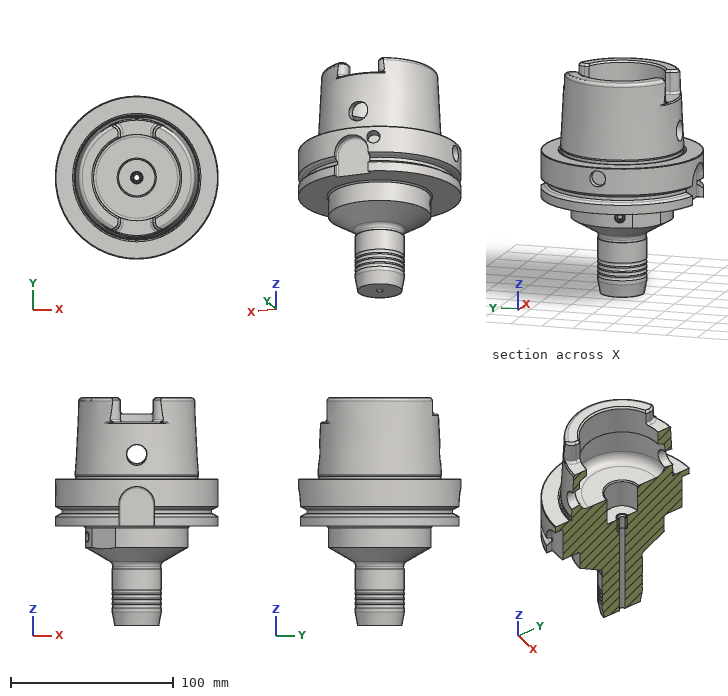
import cadquery as cq
import math


SHANK_LENGTH = 49.9
TAPER_BASE_RADIUS = 37.95
TAPER_BASE_Z = 2.4
TAPER_SLOPE = 0.05
TAPER_TOP_RADIUS = TAPER_BASE_RADIUS - TAPER_SLOPE * (SHANK_LENGTH - TAPER_BASE_Z)
RIM_FILLET = 2.2

RELIEF_RADIUS = 37.6
RELIEF_TOP_Z = 1.4
RELIEF_DEPTH = 0.5
RELIEF_FLOOR_RADIUS = 38.5
RELIEF_MOUTH_RADIUS = 39.4

FLANGE_RADIUS = 50.0
FLANGE_THICKNESS = 29.0
FLANGE_EDGE_CHAMFER = 0.4
GRIP_GROOVE_Z = -20.0
GRIP_GROOVE_RADIUS = 46.0
GRIP_GROOVE_HALF_FLOOR = 1.05
GRIP_GROOVE_KNEE_RADIUS = 47.7
GRIP_GROOVE_HALF_KNEE = 1.9
GRIP_GROOVE_HALF_MOUTH = 3.2

HUB_RADIUS = 31.5
HUB_BOTTOM_Z = -42.0
HUB_ROOT_CHAMFER = 1.0
CONE_ANGLE = math.radians(30)
NECK_RADIUS = 14.75
NECK_FILLET = 3.5
NOSE_RADIUS = 15.15
NOSE_TOP_Z = -55.2
NOSE_TAPER_Z = -81.7
NOSE_END_RADIUS = 13.6
NOSE_END_Z = -90.0

NOSE_GROOVE_COUNT = 4
NOSE_GROOVE_PITCH = 3.0
NOSE_GROOVE_FIRST_Z = -69.1
NOSE_GROOVE_HALF_WIDTH = 1.05
NOSE_GROOVE_DEPTH = 0.4

BORE_RADIUS = 26.5
BORE_CHAMFER = 1.1
LIP_BOTTOM_Z = 30.3
UNDERCUT_RADIUS = 31.5
UNDERCUT_TAPER = (UNDERCUT_RADIUS - BORE_RADIUS) * math.tan(CONE_ANGLE)
UNDERCUT_FILLET = 6.5
BORE_FLOOR_Z = 4.0

TUBE_BORE_RADIUS = 11.2
TUBE_BORE_CHAMFER = 0.8
TUBE_BORE_DEPTH = 20.0
TUBE_BORE_FLOOR_Z = BORE_FLOOR_Z - TUBE_BORE_DEPTH

STOP_SCREW_RADIUS = 3.8
STOP_SCREW_LENGTH = 10.0
STOP_SCREW_CHAMFER = 0.5
STOP_SCREW_SINK_RADIUS = 2.8
COOLANT_RADIUS = 1.9

DRIVE_SLOT_WIDTH = 20.0
DRIVE_SLOT_FLARE_X = 15.0
DRIVE_SLOT_FLARE_Y = 27.5
DRIVE_SLOT_GRAZE_ANGLE = 30.0
DRIVE_SLOT_FLOOR_FILLET = 1.7
DRIVE_SLOT_TOP_CHAMFER = 1.5
DRIVE_SLOT_RIM_CHAMFER = 0.8
DRIVE_SLOT_DEPTH_FRONT = 15.0
DRIVE_SLOT_DEPTH_BACK = 10.0

ACCESS_HOLE_RADIUS = 6.2
ACCESS_HOLE_Z = 14.6
ACCESS_HOLE_TILT = 10.0

KEY_SLOT_HALF_WIDTH = 11.0
KEY_SLOT_FLOOR_Y = 44.5
KEY_SLOT_TOP_Z = -4.7
KEY_SLOT_FLOOR_FILLET = 0.8

POCKET_Z = -7.0
CHIP_POCKET_RADIUS = 5.0
CHIP_POCKET_DEPTH = 4.6
CHIP_POCKET_ANGLE = 180.0
BALANCE_POCKET_RADIUS = 4.0
BALANCE_POCKET_DEPTH = 8.0
BALANCE_POCKET_ANGLE = 106.5

HUB_FLAT_ANGLE = 227.5
HUB_FLAT_DISTANCE = 29.9

SET_SCREW_ANGLE = 195.0
SET_SCREW_Z = -35.5
SET_SCREW_RADIUS = 3.2
SET_SCREW_RECESS = 1.0
SET_SCREW_LENGTH = 8.0
SET_SCREW_CHAMFER = 0.8
SET_SCREW_SOCKET = 3.0
SET_SCREW_SOCKET_DEPTH = 2.5

CUT_MARGIN = 10.0

PROFILE_PLANE = cq.Plane((0, 0, 0), (0, -1, 0), (-1, 0, 0))


def radial_plane(angle, distance, z):
    """Plane whose normal points away from the axis and whose origin is at a distance from it."""
    turn = math.radians(angle)
    outward = cq.Vector(math.cos(turn), math.sin(turn), 0)
    along_rim = cq.Vector(-math.sin(turn), math.cos(turn), 0)
    return cq.Plane(outward * distance + cq.Vector(0, 0, z), along_rim, outward)


def radial_cylinder(angle, start, length, z, radius):
    return cq.Workplane(radial_plane(angle, start, z)).circle(radius).extrude(length)


def revolve_about_z(outline):
    return outline.close().revolve(360, (0, 0, 0), (0, 1, 0))


def outer_solid():
    cone_drop = (HUB_RADIUS - NECK_RADIUS) * math.tan(CONE_ANGLE)
    neck_corner_z = HUB_BOTTOM_Z - cone_drop
    turn = math.pi / 2 - CONE_ANGLE
    tangent = NECK_FILLET * math.tan(turn / 2)
    fillet_center_r = NECK_RADIUS + NECK_FILLET
    fillet_end_z = neck_corner_z - tangent
    fillet_start = (
        NECK_RADIUS + tangent * math.cos(CONE_ANGLE),
        neck_corner_z + tangent * math.sin(CONE_ANGLE),
    )
    fillet_middle = (
        fillet_center_r - NECK_FILLET * math.cos(turn / 2),
        fillet_end_z + NECK_FILLET * math.sin(turn / 2),
    )

    outline = (
        cq.Workplane(PROFILE_PLANE)
        .moveTo(0, SHANK_LENGTH)
        .lineTo(TAPER_TOP_RADIUS, SHANK_LENGTH)
        .lineTo(TAPER_BASE_RADIUS, TAPER_BASE_Z)
        .lineTo(RELIEF_RADIUS, RELIEF_TOP_Z)
        .lineTo(RELIEF_RADIUS, -RELIEF_DEPTH)
        .lineTo(RELIEF_FLOOR_RADIUS, -RELIEF_DEPTH)
        .lineTo(RELIEF_MOUTH_RADIUS, 0)
        .lineTo(FLANGE_RADIUS - FLANGE_EDGE_CHAMFER, 0)
        .lineTo(FLANGE_RADIUS, -FLANGE_EDGE_CHAMFER)
        .lineTo(FLANGE_RADIUS, GRIP_GROOVE_Z + GRIP_GROOVE_HALF_MOUTH)
        .lineTo(GRIP_GROOVE_KNEE_RADIUS, GRIP_GROOVE_Z + GRIP_GROOVE_HALF_KNEE)
        .lineTo(GRIP_GROOVE_RADIUS, GRIP_GROOVE_Z + GRIP_GROOVE_HALF_FLOOR)
        .lineTo(GRIP_GROOVE_RADIUS, GRIP_GROOVE_Z - GRIP_GROOVE_HALF_FLOOR)
        .lineTo(GRIP_GROOVE_KNEE_RADIUS, GRIP_GROOVE_Z - GRIP_GROOVE_HALF_KNEE)
        .lineTo(FLANGE_RADIUS, GRIP_GROOVE_Z - GRIP_GROOVE_HALF_MOUTH)
        .lineTo(FLANGE_RADIUS, -FLANGE_THICKNESS)
        .lineTo(HUB_RADIUS + HUB_ROOT_CHAMFER, -FLANGE_THICKNESS)
        .lineTo(HUB_RADIUS, -FLANGE_THICKNESS - HUB_ROOT_CHAMFER)
        .lineTo(HUB_RADIUS, HUB_BOTTOM_Z)
        .lineTo(*fillet_start)
        .threePointArc(fillet_middle, (NECK_RADIUS, fillet_end_z))
        .lineTo(NECK_RADIUS, NOSE_TOP_Z)
        .lineTo(NOSE_RADIUS, NOSE_TOP_Z)
    )
    for index in range(NOSE_GROOVE_COUNT):
        groove_z = NOSE_GROOVE_FIRST_Z - index * NOSE_GROOVE_PITCH
        outline = outline.lineTo(NOSE_RADIUS, groove_z + NOSE_GROOVE_HALF_WIDTH).threePointArc(
            (NOSE_RADIUS - NOSE_GROOVE_DEPTH, groove_z),
            (NOSE_RADIUS, groove_z - NOSE_GROOVE_HALF_WIDTH),
        )
    outline = (
        outline.lineTo(NOSE_RADIUS, NOSE_TAPER_Z)
        .lineTo(NOSE_END_RADIUS, NOSE_END_Z)
        .lineTo(0, NOSE_END_Z)
    )
    solid = revolve_about_z(outline)
    return solid.faces(">Z").edges().fillet(RIM_FILLET)


def drive_slot_plan(flank_x, side, height):
    """Drive slot seen along Z: straight flanks, then arcs that turn into lines grazing the shank."""
    flare_radius = DRIVE_SLOT_FLARE_X - flank_x
    turn = math.radians(DRIVE_SLOT_GRAZE_ANGLE)
    graze_x = DRIVE_SLOT_FLARE_X + flare_radius * math.sin(turn)
    graze_y = DRIVE_SLOT_FLARE_Y + flare_radius * math.cos(turn)
    reach_x = FLANGE_RADIUS
    reach_y = graze_y - (reach_x - graze_x) * math.tan(turn)
    middle_turn = (turn - math.pi / 2) / 2
    middle_x = DRIVE_SLOT_FLARE_X + flare_radius * math.sin(middle_turn)
    middle_y = DRIVE_SLOT_FLARE_Y + flare_radius * math.cos(middle_turn)
    return (
        cq.Workplane("XY")
        .moveTo(-flank_x, 0)
        .lineTo(-flank_x, side * DRIVE_SLOT_FLARE_Y)
        .threePointArc((-middle_x, side * middle_y), (-graze_x, side * graze_y))
        .lineTo(-reach_x, side * reach_y)
        .lineTo(-reach_x, side * FLANGE_RADIUS)
        .lineTo(reach_x, side * FLANGE_RADIUS)
        .lineTo(reach_x, side * reach_y)
        .lineTo(graze_x, side * graze_y)
        .threePointArc((middle_x, side * middle_y), (flank_x, side * DRIVE_SLOT_FLARE_Y))
        .lineTo(flank_x, 0)
        .close()
        .extrude(height)
    )


def drive_slot_rim_chamfer(floor_z):
    """Ring that takes the outer edge off the slot floor."""
    edge_radius = TAPER_BASE_RADIUS - TAPER_SLOPE * (floor_z - TAPER_BASE_Z)
    return revolve_about_z(
        cq.Workplane(PROFILE_PLANE)
        .moveTo(edge_radius - DRIVE_SLOT_RIM_CHAMFER, floor_z)
        .lineTo(edge_radius + DRIVE_SLOT_RIM_CHAMFER, floor_z)
        .lineTo(edge_radius + DRIVE_SLOT_RIM_CHAMFER, floor_z - 2 * DRIVE_SLOT_RIM_CHAMFER)
    )


def drive_slot(depth, side):
    """Slot that runs out through the shank wall on one side, +1 or -1 in Y."""
    flank_x = DRIVE_SLOT_WIDTH / 2
    floor_z = SHANK_LENGTH - depth
    slot = drive_slot_plan(flank_x, side, depth)
    slot = slot.faces("<Z").edges().fillet(DRIVE_SLOT_FLOOR_FILLET).translate((0, 0, floor_z))

    chamfer_z = SHANK_LENGTH - DRIVE_SLOT_TOP_CHAMFER
    mouth = drive_slot_plan(flank_x + DRIVE_SLOT_TOP_CHAMFER, side, DRIVE_SLOT_TOP_CHAMFER + CUT_MARGIN)
    mouth = mouth.faces("<Z").edges().chamfer(DRIVE_SLOT_TOP_CHAMFER).translate((0, 0, chamfer_z))

    rim_height = 2 * DRIVE_SLOT_RIM_CHAMFER
    rim_zone = drive_slot_plan(flank_x, side, rim_height).translate((0, 0, floor_z - rim_height))
    return slot.union(mouth).union(rim_zone.intersect(drive_slot_rim_chamfer(floor_z)))


def clamping_bore():
    lip_taper_z = LIP_BOTTOM_Z - UNDERCUT_TAPER
    fillet_r = UNDERCUT_RADIUS - UNDERCUT_FILLET
    fillet_z = BORE_FLOOR_Z + UNDERCUT_FILLET
    diagonal = UNDERCUT_FILLET * math.sqrt(0.5)
    return revolve_about_z(
        cq.Workplane(PROFILE_PLANE)
        .moveTo(0, SHANK_LENGTH)
        .lineTo(BORE_RADIUS + BORE_CHAMFER, SHANK_LENGTH)
        .lineTo(BORE_RADIUS, SHANK_LENGTH - BORE_CHAMFER)
        .lineTo(BORE_RADIUS, LIP_BOTTOM_Z)
        .lineTo(UNDERCUT_RADIUS, lip_taper_z)
        .lineTo(UNDERCUT_RADIUS, fillet_z)
        .threePointArc((fillet_r + diagonal, fillet_z - diagonal), (fillet_r, BORE_FLOOR_Z))
        .lineTo(TUBE_BORE_RADIUS + TUBE_BORE_CHAMFER, BORE_FLOOR_Z)
        .lineTo(TUBE_BORE_RADIUS, BORE_FLOOR_Z - TUBE_BORE_CHAMFER)
        .lineTo(TUBE_BORE_RADIUS, TUBE_BORE_FLOOR_Z)
        .lineTo(STOP_SCREW_RADIUS, TUBE_BORE_FLOOR_Z)
        .lineTo(STOP_SCREW_RADIUS, TUBE_BORE_FLOOR_Z - STOP_SCREW_LENGTH)
        .lineTo(COOLANT_RADIUS, TUBE_BORE_FLOOR_Z - STOP_SCREW_LENGTH)
        .lineTo(COOLANT_RADIUS, NOSE_END_Z)
        .lineTo(0, NOSE_END_Z)
    )


def access_hole():
    """Hole on the -Y side; it rises towards the axis."""
    return (
        cq.Workplane("XZ")
        .circle(ACCESS_HOLE_RADIUS)
        .extrude(UNDERCUT_RADIUS, both=True)
        .translate((0, -UNDERCUT_RADIUS - CUT_MARGIN, 0))
        .rotate((0, -TAPER_BASE_RADIUS, 0), (1, -TAPER_BASE_RADIUS, 0), ACCESS_HOLE_TILT)
        .translate((0, 0, ACCESS_HOLE_Z))
    )


def key_slot():
    """Slot on the -Y side: a half-round top over straight flanks that run out at the bottom."""
    arc_z = KEY_SLOT_TOP_Z - KEY_SLOT_HALF_WIDTH
    bottom_z = -FLANGE_THICKNESS - CUT_MARGIN
    slot = (
        cq.Workplane("XZ", origin=(0, -KEY_SLOT_FLOOR_Y, 0))
        .moveTo(-KEY_SLOT_HALF_WIDTH, bottom_z)
        .lineTo(-KEY_SLOT_HALF_WIDTH, arc_z)
        .threePointArc((0, KEY_SLOT_TOP_Z), (KEY_SLOT_HALF_WIDTH, arc_z))
        .lineTo(KEY_SLOT_HALF_WIDTH, bottom_z)
        .close()
        .extrude(CUT_MARGIN)
    )
    return slot.faces(">Y").edges().fillet(KEY_SLOT_FLOOR_FILLET)


def hub_flat():
    height = HUB_ROOT_CHAMFER + FLANGE_THICKNESS - NOSE_END_Z
    top_z = -FLANGE_THICKNESS - HUB_ROOT_CHAMFER
    return (
        cq.Workplane(radial_plane(HUB_FLAT_ANGLE, HUB_FLAT_DISTANCE, top_z - height / 2))
        .rect(2 * HUB_RADIUS, height)
        .extrude(CUT_MARGIN)
    )


def set_screw_start():
    return HUB_RADIUS - SET_SCREW_RECESS - SET_SCREW_LENGTH


def build_chuck_body():
    body = outer_solid()
    body = body.cut(clamping_bore())
    body = body.cut(drive_slot(DRIVE_SLOT_DEPTH_FRONT, -1))
    body = body.cut(drive_slot(DRIVE_SLOT_DEPTH_BACK, 1))
    for turn in (0, 180):
        body = body.cut(access_hole().rotate((0, 0, 0), (0, 0, 1), turn))
        body = body.cut(key_slot().rotate((0, 0, 0), (0, 0, 1), turn))
    pockets = (
        (CHIP_POCKET_ANGLE, CHIP_POCKET_DEPTH, CHIP_POCKET_RADIUS),
        (BALANCE_POCKET_ANGLE, BALANCE_POCKET_DEPTH, BALANCE_POCKET_RADIUS),
    )
    for angle, depth, radius in pockets:
        start = FLANGE_RADIUS - depth
        body = body.cut(radial_cylinder(angle, start, depth + CUT_MARGIN, POCKET_Z, radius))
    body = body.cut(hub_flat())
    screw_hole_length = SET_SCREW_LENGTH + CUT_MARGIN
    return body.cut(
        radial_cylinder(
            SET_SCREW_ANGLE, set_screw_start(), screw_hole_length, SET_SCREW_Z, SET_SCREW_RADIUS
        )
    )


def build_set_screw():
    screw = radial_cylinder(
        SET_SCREW_ANGLE, set_screw_start(), SET_SCREW_LENGTH, SET_SCREW_Z, SET_SCREW_RADIUS
    )
    turn = math.radians(SET_SCREW_ANGLE)
    outward = cq.Vector(math.cos(turn), math.sin(turn), 0)
    screw = screw.faces(cq.DirectionMinMaxSelector(outward)).edges().chamfer(SET_SCREW_CHAMFER)
    socket_floor = HUB_RADIUS - SET_SCREW_RECESS - SET_SCREW_SOCKET_DEPTH
    socket = (
        cq.Workplane(radial_plane(SET_SCREW_ANGLE, socket_floor, SET_SCREW_Z))
        .polygon(6, SET_SCREW_SOCKET, circumscribed=True)
        .extrude(SET_SCREW_SOCKET_DEPTH)
    )
    return screw.cut(socket)


def build_stop_screw():
    top_z = TUBE_BORE_FLOOR_Z
    bottom_z = top_z - STOP_SCREW_LENGTH
    sink_depth = STOP_SCREW_SINK_RADIUS - COOLANT_RADIUS
    return revolve_about_z(
        cq.Workplane(PROFILE_PLANE)
        .moveTo(COOLANT_RADIUS, bottom_z)
        .lineTo(STOP_SCREW_RADIUS, bottom_z)
        .lineTo(STOP_SCREW_RADIUS, top_z - STOP_SCREW_CHAMFER)
        .lineTo(STOP_SCREW_RADIUS - STOP_SCREW_CHAMFER, top_z)
        .lineTo(STOP_SCREW_SINK_RADIUS, top_z)
        .lineTo(COOLANT_RADIUS, top_z - sink_depth)
    )


chuck_body = build_chuck_body()
set_screw = build_set_screw()
stop_screw = build_stop_screw()

result = cq.Compound.makeCompound([chuck_body.val(), set_screw.val(), stop_screw.val()])